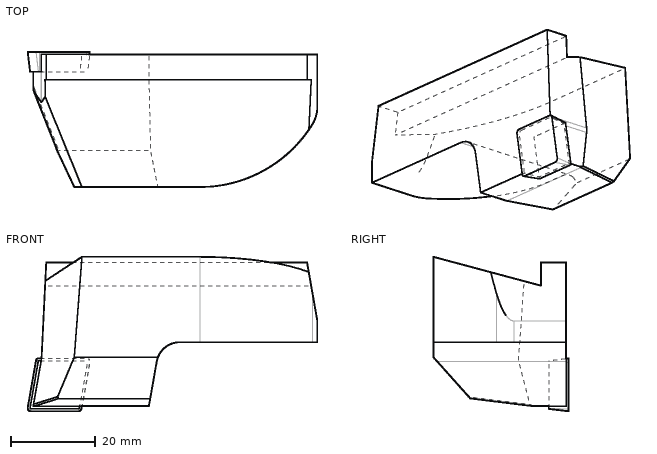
import cadquery as cq
import math


def tan_deg(angle):
    return math.tan(math.radians(angle))



INSCRIBED_CIRCLE = 12.7
INSERT_THICKNESS = 4.76
INSERT_LEAN = 10.0
INSERT_RELIEF = 7.0
NOSE_RADIUS = 0.8
INSERT_PROUD = 0.6

TOTAL_LENGTH = 69.0
TOTAL_HEIGHT = 36.83
SHANK_DEPTH = 31.6
RIB_WIDTH = 6.0
RIB_TOP = 35.5
TOP_SLOPE = 15.0
STEP_Z = TOTAL_HEIGHT - (SHANK_DEPTH - RIB_WIDTH) * tan_deg(TOP_SLOPE)
FRONT_FACE_BOTTOM = 12.9
BOTTOM_Z = 1.25
BOTTOM_FLAT_DEPTH = 8.0
BOTTOM_RELIEF = INSERT_RELIEF
UNDERSIDE_EDGE_DEPTH = 22.8
UNDERSIDE_EDGE_Z = BOTTOM_Z + (UNDERSIDE_EDGE_DEPTH - BOTTOM_FLAT_DEPTH) * tan_deg(BOTTOM_RELIEF)

HEEL_X = 1.34
BEND_Z = 12.25
BEND_X = HEEL_X + (BEND_Z - BOTTOM_Z) * tan_deg(INSERT_LEAN)
BEND_RADIUS = 10.0
UPPER_LEAN = 2.8
NECK_X = 28.9
TAIL_UNDERSIDE_Z = 16.45
NECK_TOP_X = NECK_X + (TAIL_UNDERSIDE_Z - BOTTOM_Z) * tan_deg(INSERT_LEAN)
NECK_RADIUS = 5.5
TAIL_LEAN = 10.0
TAIL_LEAN_START_Z = 21.6

TAIL_ARC_X = 40.95
TAIL_ARC_RADIUS = 31.6
TAIL_CORNER_RADIUS = 8.0

OBLIQUE_ANGLE = 21.1
OBLIQUE_TOP_X = 12.95
OBLIQUE_BOTTOM_X = 11.12

BEVEL_DEPTH = 0.28

SPAN = 100.0


def make_insert():
    height = INSCRIBED_CIRCLE
    side = INSCRIBED_CIRCLE / math.cos(math.radians(INSERT_LEAN))
    shift = height * tan_deg(INSERT_LEAN)
    sharp_x = NOSE_RADIUS - NOSE_RADIUS / tan_deg((90 - INSERT_LEAN) / 2)
    corners = [(0, 0), (side, 0), (side + shift, height), (shift, height), (0, 0)]
    rhombus = cq.Sketch().polygon(corners).vertices().fillet(NOSE_RADIUS)
    return (
        cq.Workplane("XZ", origin=(sharp_x, INSERT_PROUD, 0))
        .placeSketch(rhombus)
        .extrude(INSERT_THICKNESS, taper=INSERT_RELIEF)
    )


def make_section():
    """Shank section with its rib, sloped top and relieved bottom, swept along X."""
    outline = [
        (0, BOTTOM_Z),
        (0, RIB_TOP),
        (-RIB_WIDTH, RIB_TOP),
        (-RIB_WIDTH, STEP_Z),
        (-SHANK_DEPTH, TOTAL_HEIGHT),
        (-SHANK_DEPTH, FRONT_FACE_BOTTOM),
        (-UNDERSIDE_EDGE_DEPTH, UNDERSIDE_EDGE_Z),
        (-BOTTOM_FLAT_DEPTH, BOTTOM_Z),
    ]
    return cq.Workplane("YZ").polyline(outline).close().extrude(TOTAL_LENGTH)


def make_side_profile():
    """Side profile with the leaning ends and the raised underside of the tail, swept along Y."""
    outline = [
        (HEEL_X, BOTTOM_Z),
        (NECK_X, BOTTOM_Z),
        (NECK_TOP_X, TAIL_UNDERSIDE_Z),
        (TOTAL_LENGTH, TAIL_UNDERSIDE_Z),
        (TOTAL_LENGTH, TAIL_LEAN_START_Z),
        (TOTAL_LENGTH - (TOTAL_HEIGHT - TAIL_LEAN_START_Z) * tan_deg(TAIL_LEAN), TOTAL_HEIGHT),
        (BEND_X + (TOTAL_HEIGHT - BEND_Z) * tan_deg(UPPER_LEAN), TOTAL_HEIGHT),
        (BEND_X, BEND_Z),
    ]
    profile = cq.Workplane("XZ").polyline(outline).close().extrude(SHANK_DEPTH)
    neck_edge = cq.selectors.NearestToPointSelector((NECK_TOP_X, -SHANK_DEPTH / 2, TAIL_UNDERSIDE_Z))
    bend_edge = cq.selectors.NearestToPointSelector((BEND_X, -SHANK_DEPTH / 2, BEND_Z))
    return profile.edges(neck_edge).fillet(NECK_RADIUS).edges(bend_edge).fillet(BEND_RADIUS)


def make_plan():
    """Plan outline with the rounded tail, swept along Z."""
    center_y = TAIL_ARC_RADIUS - SHANK_DEPTH
    corner_x = TOTAL_LENGTH - TAIL_CORNER_RADIUS
    contact_angle = math.asin((corner_x - TAIL_ARC_X) / (TAIL_ARC_RADIUS - TAIL_CORNER_RADIUS))
    corner_y = center_y - (TAIL_ARC_RADIUS - TAIL_CORNER_RADIUS) * math.cos(contact_angle)

    def tail_point(angle):
        return (
            TAIL_ARC_X + TAIL_ARC_RADIUS * math.sin(angle),
            center_y - TAIL_ARC_RADIUS * math.cos(angle),
        )

    corner_angle = (contact_angle + math.pi / 2) / 2
    corner_middle = (
        corner_x + TAIL_CORNER_RADIUS * math.sin(corner_angle),
        corner_y - TAIL_CORNER_RADIUS * math.cos(corner_angle),
    )
    return (
        cq.Workplane("XY")
        .moveTo(0, 0)
        .lineTo(0, -SHANK_DEPTH)
        .lineTo(TAIL_ARC_X, -SHANK_DEPTH)
        .threePointArc(tail_point(contact_angle / 2), tail_point(contact_angle))
        .threePointArc(corner_middle, (TOTAL_LENGTH, corner_y))
        .lineTo(TOTAL_LENGTH, 0)
        .close()
        .extrude(TOTAL_HEIGHT)
    )


def make_half_space(point, normal, direction):
    """Large block whose base holds the point and that reaches along the normal."""
    base = cq.Plane(origin=point, xDir=direction, normal=normal)
    return cq.Workplane(base).rect(SPAN, SPAN).extrude(SPAN)


def make_shank():
    shank = make_section().intersect(make_side_profile()).intersect(make_plan())

    z_slope = (OBLIQUE_TOP_X - OBLIQUE_BOTTOM_X) / (TOTAL_HEIGHT - FRONT_FACE_BOTTOM)
    y_slope = tan_deg(OBLIQUE_ANGLE)
    oblique_normal = cq.Vector(-1, -y_slope, z_slope).normalized()
    front_corner = cq.Vector(OBLIQUE_BOTTOM_X, -SHANK_DEPTH, FRONT_FACE_BOTTOM)
    front_edge = cq.Vector(z_slope, 0, 1)
    shank = shank.cut(make_half_space(front_corner, oblique_normal, front_edge))

    relief = math.radians(BOTTOM_RELIEF)
    relief_normal = cq.Vector(0, -math.sin(relief), -math.cos(relief))
    lower_corner = cq.Vector(
        OBLIQUE_BOTTOM_X
        + (UNDERSIDE_EDGE_Z - FRONT_FACE_BOTTOM) * z_slope
        - (SHANK_DEPTH - UNDERSIDE_EDGE_DEPTH) * y_slope,
        -UNDERSIDE_EDGE_DEPTH,
        UNDERSIDE_EDGE_Z,
    )
    bevel_normal = (oblique_normal + relief_normal).normalized()
    bevel_point = lower_corner - bevel_normal * BEVEL_DEPTH
    lower_edge = oblique_normal.cross(relief_normal)
    shank = shank.cut(make_half_space(bevel_point, bevel_normal, lower_edge))

    return shank.cut(make_insert())


shank = make_shank()
insert = make_insert()

result = cq.Compound.makeCompound([shank.val(), insert.val()])